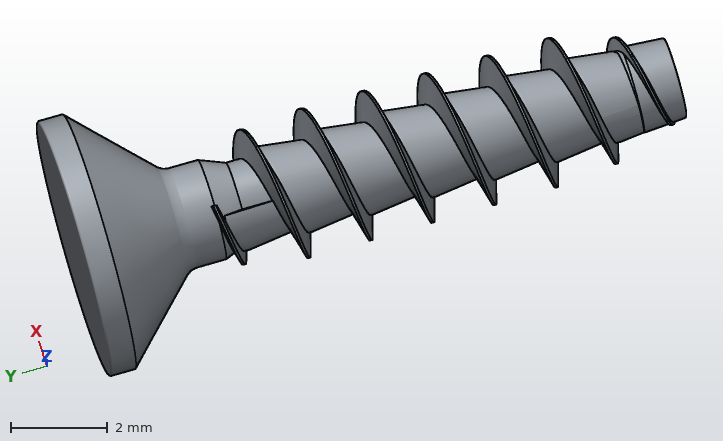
import cadquery as cq
import math

length = 13.0
head_radius = 2.75
rim_height = 0.55
neck_radius = 1.072
neck_end = 10.01
neck_fillet = 0.31
edge_fillet = 0.05

pitch = 1.336
crest_radius = 1.515
crest_width = 0.05
base_width = 0.39
thread_bottom = -0.96

core_radius = 0.86
wedge_radius = 1.01
tail_radius = 0.88
tail_inset = 0.13
tail_offset = tail_inset - pitch
tip_cone_height = 0.94
tip_cone_radius = 0.92
tip_cone_top = 1.1
runout_height = 0.55

buried_radius = 0.78

thread_start = 0.85
tip_fade_turns = 1.4
fade_start_radius = 0.87
thread_end = 8.22
neck_fade_turns = 1.0
neck_fade_radius = 1.2
wedge_start = 1.65
wedge_growth_turns = 0.5
wedge_first_radius = 0.9
tail_first_radius = 0.83
wedge_end = 8.18
steps_per_edge = 8


def revolve(points):
    """Solid of revolution about Z from (radius, height) points."""
    return cq.Workplane("XZ").polyline(points).close().revolve(360, (0, 0), (0, 1))


def spiral_edge(corner, start, end):
    """Spline through one profile corner as the profile turns from start to end (in turns from -X)."""
    points = []
    for step in range(steps_per_edge + 1):
        turn = start + (end - start) * step / steps_per_edge
        radius, offset = corner(turn)
        angle = math.pi + 2 * math.pi * turn
        height = thread_bottom + pitch * turn + offset
        points.append(cq.Vector(radius * math.cos(angle), radius * math.sin(angle), height))
    return cq.Edge.makeSpline(points)


def helical_solid(corners, stations):
    """Solid swept by a profile whose corners are functions of the turn, split at the stations."""
    faces = []
    first_edges = []
    last_edges = []
    for start, end in zip(stations, stations[1:]):
        edges = [spiral_edge(corner, start, end) for corner in corners]
        for edge, next_edge in zip(edges, edges[1:] + edges[:1]):
            faces.append(cq.Face.makeRuledSurface(edge, next_edge))
        first_edges = first_edges or edges
        last_edges = edges
    bottom_cap = [edge.startPoint() for edge in first_edges]
    top_cap = [edge.endPoint() for edge in last_edges]
    for cap in (bottom_cap, top_cap):
        faces.append(cq.Face.makeFromWires(cq.Wire.makePolygon(cap, close=True)))
    return cq.Workplane(cq.Solid.makeSolid(cq.Shell.makeShell(faces)).fix())


def stations_between(start, end):
    """Marks about half a turn apart from start to end, evenly spaced."""
    count = math.ceil(2 * (end - start))
    return [start + (end - start) * i / count for i in range(count + 1)]


def make_head_and_neck():
    cone_bottom = length - rim_height - (head_radius - neck_radius)
    body = revolve([
        (0, neck_end),
        (neck_radius, neck_end),
        (neck_radius, cone_bottom),
        (head_radius, length - rim_height),
        (head_radius, length),
        (0, length),
    ])
    circles = body.edges("%CIRCLE")
    neck_edge = circles.edges(cq.selectors.NearestToPointSelector((0, 0, cone_bottom)))
    body = neck_edge.fillet(neck_fillet)
    return body.faces(">Z").edges().fillet(edge_fillet)


def make_core():
    return revolve([
        (0, 0),
        (core_radius, 0),
        (tip_cone_radius, tip_cone_height),
        (core_radius, tip_cone_top),
        (core_radius, neck_end - runout_height),
        (neck_radius, neck_end),
        (0, neck_end),
    ]).faces("<Z").edges().fillet(edge_fillet)


def make_wedge():
    def growing(first_radius, full_radius, offset):
        def corner(turn):
            share = min(1, (turn - wedge_start) / wedge_growth_turns)
            return first_radius + (full_radius - first_radius) * share, offset
        return corner

    def buried(offset):
        return lambda turn: (buried_radius, offset)

    corners = [
        buried(0),
        growing(wedge_first_radius, wedge_radius, 0),
        growing(wedge_first_radius, wedge_radius, -base_width / 2),
        growing(tail_first_radius, tail_radius, tail_offset),
        buried(tail_offset),
    ]
    full_start = wedge_start + wedge_growth_turns
    stations = stations_between(wedge_start, full_start) + stations_between(full_start, wedge_end)[1:]
    return helical_solid(corners, stations)


def thread_radius(turn):
    """Crest radius, growing from the tip and shrinking towards the neck."""
    tip_growth = (crest_radius - fade_start_radius) / tip_fade_turns
    neck_growth = (crest_radius - neck_fade_radius) / neck_fade_turns
    lower_radius = fade_start_radius + tip_growth * (turn - thread_start)
    upper_radius = neck_fade_radius + neck_growth * (thread_end - turn)
    return min(crest_radius, lower_radius, upper_radius)


def make_thread():
    flank_slope = (base_width - crest_width) / 2 / (crest_radius - buried_radius)

    def crest(side):
        return lambda turn: (thread_radius(turn), side * crest_width / 2)

    def base(side):
        def corner(turn):
            depth = thread_radius(turn) - buried_radius
            return buried_radius, side * (crest_width / 2 + flank_slope * depth)
        return corner

    corners = [base(-1), crest(-1), crest(1), base(1)]
    full_start = thread_start + tip_fade_turns
    full_end = thread_end - neck_fade_turns
    stations = (
        stations_between(thread_start, full_start)
        + stations_between(full_start, full_end)[1:]
        + stations_between(full_end, thread_end)[1:]
    )
    return helical_solid(corners, stations)


screw = make_head_and_neck().union(make_core())
screw = screw.union(make_wedge()).union(make_thread())

result = screw.rotate((0, 0, 0), (1, 0, 0), -90)